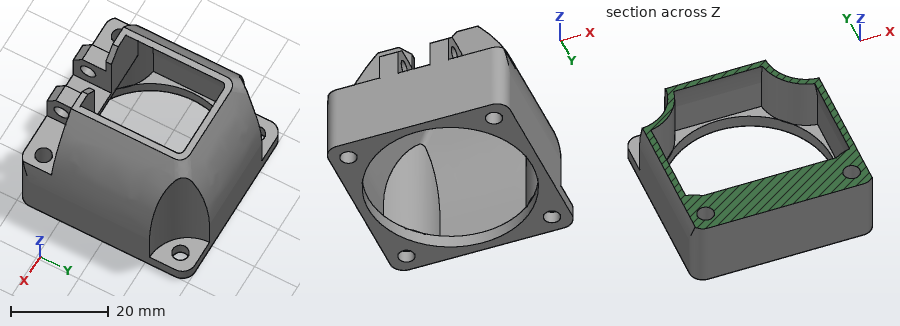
import cadquery as cq

side = 40.0
half = side / 2
height = 30.5
corner_radius = 2.95

taper_start = 10.0
side_inset = 9.0
rear_inset = 5.9
wall = 1.5
ridge_radius = 2.95
inner_ridge_radius = ridge_radius - wall

flange_thickness = 2.95
corner_relief_radius = 9.0
flange_opening_radius = 18.0
hole_diameter = 3.5
hole_inset = 4.0

shelf_height = 15.8
shelf_depth = 7.65
front_wall = 1.3
notch_width = 7.0
notch_flare = 2.9
lug_thickness = 4.05
lug_height = 8.0
lug_chamfer = 2.1
pin_inset = 3.5
pin_height = 20.0

front = -half
rear_corners = [(-half, half), (half, half)]
front_corners = [(-half, -half), (half, -half)]


def tapered_block(offset, front_y, ridge):
    """Block with parabolic sides and rear, shrunk sideways and at the rear by offset."""
    base = half - offset
    side_top = base - side_inset
    rear_top = base - rear_inset
    control_height = (taper_start + height) / 2

    across = (
        cq.Workplane("XZ", origin=(0, half, 0))
        .moveTo(-base, 0)
        .lineTo(base, 0)
        .lineTo(base, taper_start)
        .bezier([(base, taper_start), (base, control_height), (side_top, height)])
        .lineTo(-side_top, height)
        .bezier([(-side_top, height), (-base, control_height), (-base, taper_start)])
        .close()
        .extrude(side)
    )
    along = (
        cq.Workplane("YZ", origin=(-half, 0, 0))
        .moveTo(front_y, 0)
        .lineTo(base, 0)
        .lineTo(base, taper_start)
        .bezier([(base, taper_start), (base, control_height), (rear_top, height)])
        .lineTo(front_y, height)
        .close()
        .extrude(side)
    )
    block = across.intersect(along)
    ridges = cq.selectors.BoxSelector(
        (-side, rear_top - 0.4, taper_start / 4), (side, side, height - 0.4)
    )
    return block.edges(ridges).fillet(ridge)


def corner_posts(corners, radius):
    """Upright cylinders centred on the given corners, standing on the flange."""
    return (
        cq.Workplane("XY", origin=(0, 0, flange_thickness))
        .pushPoints(corners)
        .circle(radius)
        .extrude(height)
    )


def base_plate(thickness):
    """Footprint with rounded corners."""
    return cq.Workplane("XY").rect(side, side).extrude(thickness).edges("|Z").fillet(corner_radius)


def lug(x_start):
    """Hinge lug standing on the shelf, chamfered at its top front edge."""
    return (
        cq.Workplane("XY")
        .box(lug_thickness, shelf_depth, lug_height, centered=False)
        .edges("|X and >Z and <Y")
        .chamfer(lug_chamfer)
        .translate((x_start, front, shelf_height))
    )


body = tapered_block(0, front, ridge_radius)
body = body.intersect(base_plate(height))
body = body.cut(corner_posts(rear_corners, corner_relief_radius))
body = body.union(base_plate(flange_thickness))

cavity_front = front + shelf_depth + front_wall
above_flange = (
    cq.Workplane("XY", origin=(0, 0, flange_thickness)).rect(side, side).extrude(height)
)
cavity = tapered_block(wall, cavity_front, inner_ridge_radius).intersect(above_flange)

under_shelf_depth = cavity_front - (front + wall)
under_shelf = (
    cq.Workplane("XY")
    .box(side, under_shelf_depth, shelf_height - wall - flange_thickness, centered=(True, False, False))
    .translate((0, front + wall, flange_thickness))
    .intersect(tapered_block(wall, front + wall, inner_ridge_radius))
)
inner_posts = corner_posts(rear_corners + front_corners, corner_relief_radius + wall)
body = body.cut(cavity.union(under_shelf).cut(inner_posts))

flange_opening = cq.Workplane("XY").circle(flange_opening_radius).extrude(flange_thickness)
body = body.cut(flange_opening)

shelf_space = cq.Workplane("XY").box(side, shelf_depth, height, centered=(True, False, False))
body = body.cut(shelf_space.translate((0, front, shelf_height)))

for x_start in (-notch_width / 2 - lug_thickness, notch_width / 2):
    body = body.union(lug(x_start))

notch_half = notch_width / 2
notch = (
    cq.Workplane("XZ", origin=(0, cavity_front, 0))
    .polyline(
        [
            (-notch_half, shelf_height),
            (notch_half, shelf_height),
            (notch_half, height - notch_flare),
            (notch_half + notch_flare, height),
            (-notch_half - notch_flare, height),
            (-notch_half, height - notch_flare),
        ]
    )
    .close()
    .extrude(shelf_depth + front_wall)
)
body = body.cut(notch)

pin = (
    cq.Workplane("YZ", origin=(-half, 0, 0))
    .center(front + pin_inset, pin_height)
    .circle(hole_diameter / 2)
    .extrude(side)
)
body = body.cut(pin)

hole_spacing = side - 2 * hole_inset
mounting_holes = (
    cq.Workplane("XY")
    .rarray(hole_spacing, hole_spacing, 2, 2)
    .circle(hole_diameter / 2)
    .extrude(height)
)
result = body.cut(mounting_holes)